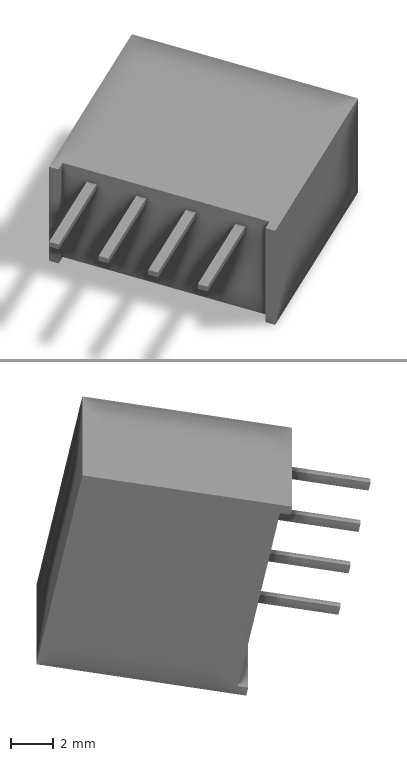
import cadquery as cq

HOUSING_WIDTH = 11.6
HOUSING_HEIGHT = 6.0
OVERALL_LENGTH = 14.2
HOUSING_LENGTH = 10.1
LIP = 0.5

PIN_COUNT = 4
PIN_PITCH = 2.54
PIN_WIDTH = 0.5
PIN_THICKNESS = 0.3
PIN_DROP = 0.9

DOT_DIAMETER = 1.0
DOT_DEPTH = 0.1
DOT_FROM_SIDE = 1.76
DOT_FROM_LIP_END = 2.2

LIP_END_Y = OVERALL_LENGTH - HOUSING_LENGTH
PIN_FACE_Y = LIP_END_Y + LIP
PIN_CENTRE_Z = HOUSING_HEIGHT - PIN_DROP


def make_marker():
    """Round disc whose upper face is level with the housing top."""
    return (
        cq.Workplane("XY", origin=(0, 0, HOUSING_HEIGHT - DOT_DEPTH))
        .center(DOT_FROM_SIDE - HOUSING_WIDTH / 2, LIP_END_Y + DOT_FROM_LIP_END)
        .circle(DOT_DIAMETER / 2)
        .extrude(DOT_DEPTH)
    )


def make_housing(marker):
    """Block with a full-height recess between the lips and a seat for the marker."""
    block = (
        cq.Workplane("XY", origin=(0, LIP_END_Y, 0))
        .box(HOUSING_WIDTH, HOUSING_LENGTH, HOUSING_HEIGHT, centered=(True, False, False))
    )
    recess = (
        cq.Workplane("XY", origin=(0, LIP_END_Y, 0))
        .box(HOUSING_WIDTH - 2 * LIP, LIP, HOUSING_HEIGHT, centered=(True, False, False))
    )
    return block.cut(recess).cut(marker)


def make_pin(x):
    """Straight flat pin reaching from its tip to the pin face."""
    return (
        cq.Workplane("XY", origin=(x, 0, PIN_CENTRE_Z))
        .box(PIN_WIDTH, PIN_FACE_Y, PIN_THICKNESS, centered=(True, False, True))
    )


marker = make_marker()
housing = make_housing(marker)

pins = []
for index in range(PIN_COUNT):
    pin_x = (index - (PIN_COUNT - 1) / 2) * PIN_PITCH
    pins.append(make_pin(pin_x))

result = cq.Compound.makeCompound([housing.val(), marker.val(), *[pin.val() for pin in pins]])